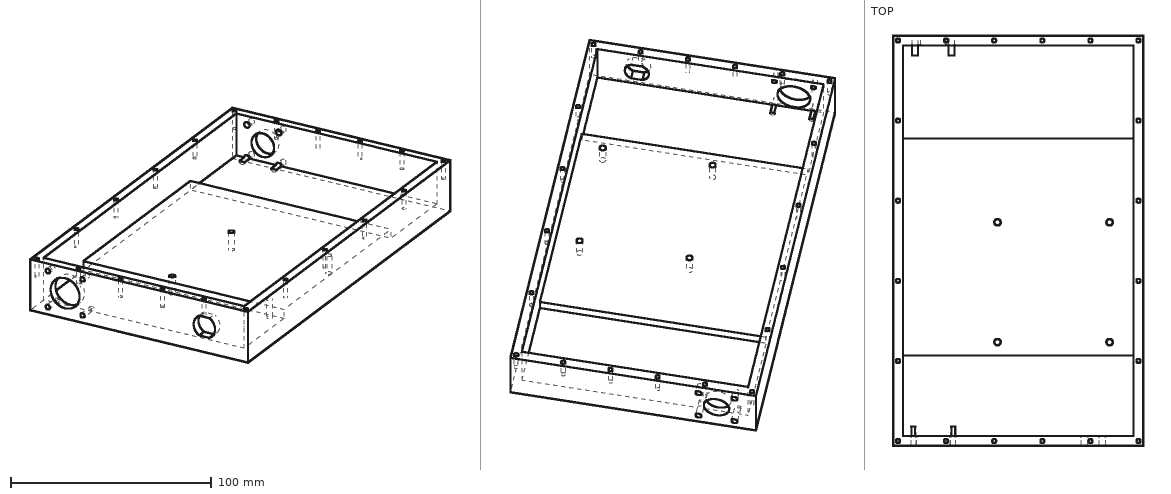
import cadquery as cq

width = 125.0
length = 205.0
height = 28.0
wall = 5.0
floor = 5.0

platform_top = 2 * floor
platform_back = 51.0
platform_front = -57.5
mount_hole_diameter = 3.0
mount_hole_x_spacing = 56.0
mount_hole_y_spacing = 59.9
mount_hole_center = (17.6, -20.7)

cover_hole_diameter = 2.0
cover_hole_depth = 2 * wall
cover_holes_per_side = 6

connector_x = -42.5
connector_z = height / 2
front_bore_diameter = 16.6
front_screw_diameter = 2.5
front_screw_spacing = 19.9
back_bore_diameter = 13.0
back_screw_diameter = 3.0
back_screw_spacing = 18.2
screw_hole_depth = 2 * wall

opening_x = 37.5
opening_diameter = 12.3
opening_height = 10.9


def end_wall_plane(y, outward):
    """Plane on an end wall, centred at mid height; outward is -1 at the front, 1 at the back."""
    return cq.Workplane(cq.Plane(origin=(0, y, connector_z), xDir=(-outward, 0, 0), normal=(0, outward, 0)))


def make_tray():
    box = cq.Workplane("XY").box(width, length, height, centered=(True, True, False))
    cavity = (
        cq.Workplane("XY", origin=(0, 0, floor))
        .rect(width - 2 * wall, length - 2 * wall)
        .extrude(height - floor)
    )
    return box.cut(cavity)


def make_platform():
    return (
        cq.Workplane("XY", origin=(0, (platform_back + platform_front) / 2, 0))
        .rect(width - wall, platform_back - platform_front)
        .extrude(platform_top)
    )


def make_mount_holes():
    return (
        cq.Workplane("XY")
        .center(*mount_hole_center)
        .rect(mount_hole_x_spacing, mount_hole_y_spacing, forConstruction=True)
        .vertices()
        .circle(mount_hole_diameter / 2)
        .extrude(platform_top)
    )


def make_cover_holes():
    span_x = width - wall
    span_y = length - wall
    last = cover_holes_per_side - 1
    points = []
    for i in range(cover_holes_per_side):
        for j in range(cover_holes_per_side):
            if i in (0, last) or j in (0, last):
                points.append(((i / last - 0.5) * span_x, (j / last - 0.5) * span_y))
    return (
        cq.Workplane("XY", origin=(0, 0, height))
        .pushPoints(points)
        .circle(cover_hole_diameter / 2)
        .extrude(-cover_hole_depth)
    )


def make_connector_cut(outward, bore_diameter, screw_diameter, screw_spacing):
    """Bore through the wall with four screw holes; the lower two run into the floor."""
    local_x = -outward * connector_x
    face = end_wall_plane(outward * length / 2, outward).center(local_x, 0)
    bore = face.circle(bore_diameter / 2).extrude(-wall)
    screws = (
        face.rect(screw_spacing, screw_spacing, forConstruction=True)
        .vertices()
        .circle(screw_diameter / 2)
        .extrude(-screw_hole_depth)
    )
    return bore.union(screws)


def make_front_opening():
    face = end_wall_plane(-length / 2, -1).center(opening_x, 0)
    disc = face.circle(opening_diameter / 2).extrude(-wall)
    flats = face.rect(opening_diameter, opening_height).extrude(-wall)
    return disc.intersect(flats)


result = (
    make_tray()
    .union(make_platform())
    .cut(make_mount_holes())
    .cut(make_cover_holes())
    .cut(make_connector_cut(-1, front_bore_diameter, front_screw_diameter, front_screw_spacing))
    .cut(make_connector_cut(1, back_bore_diameter, back_screw_diameter, back_screw_spacing))
    .cut(make_front_opening())
)